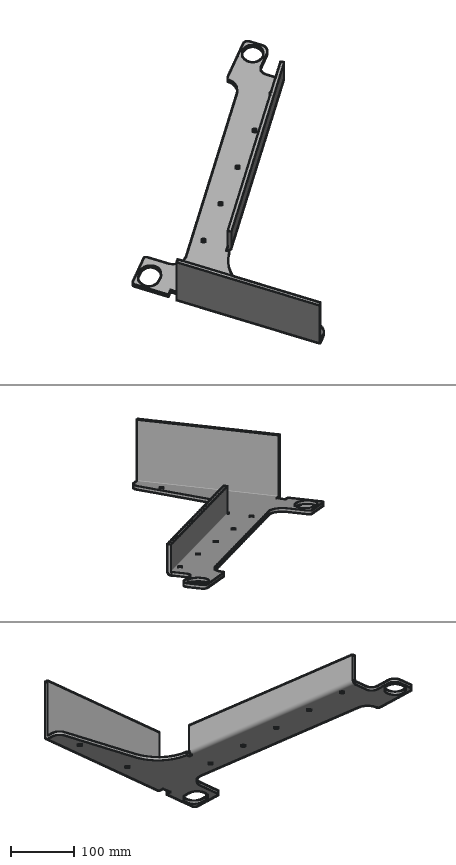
import cadquery as cq
import math

thickness = 6.0
bend_outer_radius = 7.0
bend_inner_radius = bend_outer_radius - thickness

width = 317.5
depth = 513.0
front_flange_height = 106.5
side_flange_height = 51.5

front_flange_start = 77.0
front_flange_length = width - front_flange_start
relief_left = 61.5
relief_left_y = 15.5
relief_right_y = 14.0

lean_angle = 6.4
lean = math.tan(math.radians(lean_angle))
side_flange_end_x = 123.0
side_flange_end_y = 124.0
side_flange_length = 341.0
side_relief_y = 118.0
side_relief_corner_x = 122.0
arm_left_foot_x = 71.0

back_tab_width = 42.0
back_tab_front_y = 431.0
shoulder_y = 461.5
front_tab_back_y = 62.0
front_tab_front_y = 5.0
mount_hole_diameter = 34.0
mount_hole_x = 21.0
back_hole_y = 492.5
slot_y = 29.0
slot_length = 41.0

toe_end_y = 30.5
toe_angle = 11.1
toe_slope = math.tan(math.radians(toe_angle))

tab_right_radius = 13.0
tab_left_radius = 7.5
small_radius = 4.0
front_tab_radius = 4.5
shoulder_radius = 12.5
arm_radius = 21.5
web_radius = 70.0
toe_radius = 15.5

small_hole_diameter = 6.5
arm_hole_x = 76.5
arm_hole_first_y = 123.5
arm_hole_pitch = 76.5
arm_hole_count = 5
toe_hole_y = 26.5
toe_hole_xs = (165.0, 267.0)


def arm_left_x(y):
    """X of the left edge of the arm at the given Y."""
    return arm_left_foot_x - lean * y


def bend_line_x(y):
    """X where the plate meets the side flange's bend."""
    offset = bend_outer_radius / math.cos(math.radians(lean_angle))
    return side_flange_end_x - offset - lean * (y - side_flange_end_y)


def web_corner():
    """Corner of the arm's lower right edge and the toe's sloping edge."""
    toe_y_at_left = toe_end_y + toe_slope * (width - side_relief_corner_x)
    run = (side_relief_y - toe_y_at_left) / (1 / lean - toe_slope)
    return side_relief_corner_x + run, side_relief_y - run / lean


def rounded_outline(corners):
    """Closed outline through (x, y, radius) corners, each rounded by a tangent arc."""
    arcs = []
    for i, (x, y, radius) in enumerate(corners):
        before = cq.Vector(*corners[i - 1][:2])
        after = cq.Vector(*corners[(i + 1) % len(corners)][:2])
        corner = cq.Vector(x, y)
        back = (before - corner).normalized()
        ahead = (after - corner).normalized()
        half_angle = back.getAngle(ahead) / 2
        setback = radius / math.tan(half_angle)
        middle_distance = radius / math.sin(half_angle) - radius
        middle = corner + (back + ahead).normalized() * middle_distance
        arcs.append((corner + back * setback, middle, corner + ahead * setback))

    first_end = arcs[0][2]
    outline = cq.Workplane("XY").moveTo(first_end.x, first_end.y)
    for (start, middle, end), corner in zip(arcs[1:] + arcs[:1], corners[1:] + corners[:1]):
        outline = outline.lineTo(start.x, start.y)
        if corner[2] > 0:
            outline = outline.threePointArc((middle.x, middle.y), (end.x, end.y))
    return outline.close()


def make_plate():
    corners = [
        (relief_left, front_tab_front_y, 0),
        (relief_left, relief_left_y, 0),
        (front_flange_start, relief_right_y, 0),
        (front_flange_start, bend_outer_radius, 0),
        (width, bend_outer_radius, 0),
        (width, toe_end_y, toe_radius),
        (*web_corner(), web_radius),
        (side_relief_corner_x, side_relief_y, 0),
        (bend_line_x(side_relief_y), side_relief_y, 0),
        (bend_line_x(shoulder_y), shoulder_y, 0),
        (back_tab_width, shoulder_y, shoulder_radius),
        (back_tab_width, depth, tab_right_radius),
        (0, depth, tab_left_radius),
        (0, back_tab_front_y, small_radius),
        (arm_left_x(back_tab_front_y), back_tab_front_y, arm_radius),
        (arm_left_x(front_tab_back_y), front_tab_back_y, arm_radius),
        (0, front_tab_back_y, small_radius),
        (0, front_tab_front_y, front_tab_radius),
    ]
    return rounded_outline(corners).extrude(thickness)


def make_flange(length, height):
    """Bend and upright wall along +X, with the wall's outer face on Y = 0."""
    section = (
        cq.Workplane("YZ")
        .moveTo(bend_outer_radius, 0)
        .radiusArc((0, bend_outer_radius), bend_outer_radius)
        .lineTo(0, height)
        .lineTo(thickness, height)
        .lineTo(thickness, bend_outer_radius)
        .radiusArc((bend_outer_radius, thickness), -bend_inner_radius)
        .close()
    )
    return section.extrude(length)


def make_holes():
    arm_holes = [
        (arm_hole_x, arm_hole_first_y + i * arm_hole_pitch) for i in range(arm_hole_count)
    ]
    toe_holes = [(x, toe_hole_y) for x in toe_hole_xs]
    plane = cq.Workplane("XY")
    small = plane.pushPoints(arm_holes + toe_holes).circle(small_hole_diameter / 2).extrude(thickness)
    back = plane.center(mount_hole_x, back_hole_y).circle(mount_hole_diameter / 2).extrude(thickness)
    slot = (
        cq.Workplane("XY")
        .center(mount_hole_x, slot_y)
        .slot2D(slot_length, mount_hole_diameter, 90)
        .extrude(thickness)
    )
    return small.union(back).union(slot)


front_flange = make_flange(front_flange_length, front_flange_height).translate((front_flange_start, 0, 0))
side_flange = (
    make_flange(side_flange_length, side_flange_height)
    .rotate((0, 0, 0), (0, 0, 1), 90 + lean_angle)
    .translate((side_flange_end_x, side_flange_end_y, 0))
)
result = make_plate().union(front_flange).union(side_flange).cut(make_holes())